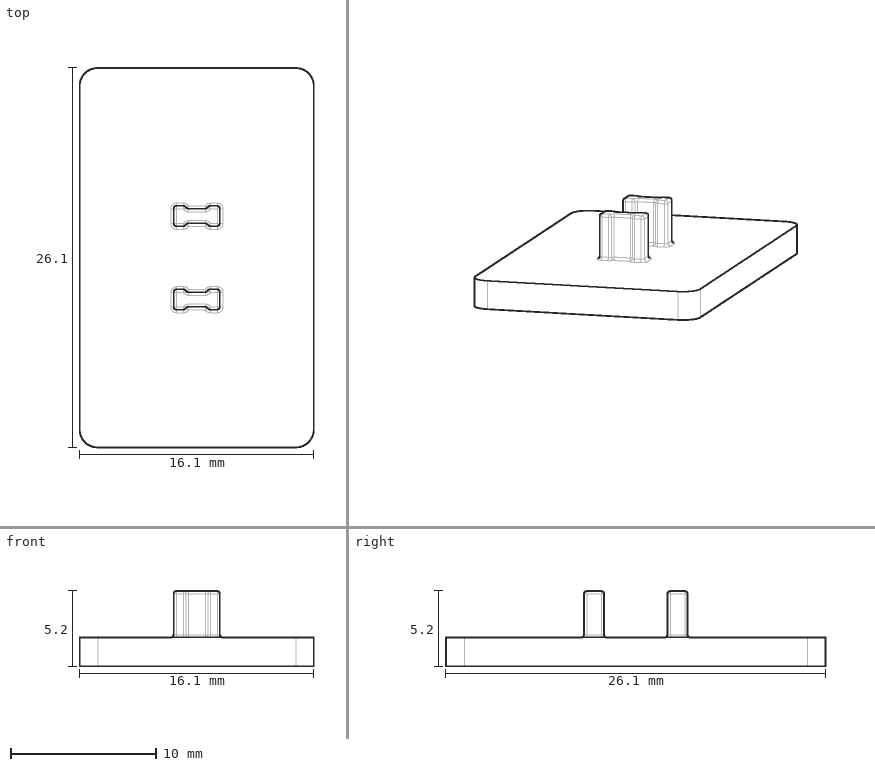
import cadquery as cq
import math

plate_width = 16.15
plate_length = 26.15
plate_thickness = 2.0
plate_corner_radius = 1.25

overall_height = 5.2
post_height = overall_height - plate_thickness
post_width = 3.2
post_depth = 1.4
post_spacing = 5.75
waist_inset = 0.2
waist_step_center = 0.75
edge_radius = 0.2

height_tolerance = 0.01


def make_plate():
    plate = cq.Workplane("XY").box(
        plate_width, plate_length, plate_thickness, centered=(True, True, False)
    )
    return plate.edges("|Z").fillet(plate_corner_radius)


def post_outline(center_y):
    """Rectangle with rounded corners and a smooth recess in each long side."""
    half_width = post_width / 2
    half_depth = post_depth / 2
    waist_half_depth = half_depth - waist_inset
    step_half_depth = half_depth - waist_inset / 2

    step_angle = math.acos(1 - waist_inset / (2 * edge_radius))
    step_half_width = edge_radius * math.sin(step_angle)
    step_outer = waist_step_center + step_half_width
    step_inner = waist_step_center - step_half_width

    corner_x = half_width - edge_radius
    corner_y = half_depth - edge_radius

    outline = cq.Workplane("XY", origin=(0, center_y, plate_thickness))
    outline = outline.moveTo(-half_width, -corner_y)
    for side in (1, -1):
        outline = (
            outline
            .radiusArc((-side * corner_x, -side * half_depth), -edge_radius)
            .lineTo(-side * step_outer, -side * half_depth)
            .radiusArc((-side * waist_step_center, -side * step_half_depth), -edge_radius)
            .radiusArc((-side * step_inner, -side * waist_half_depth), edge_radius)
            .lineTo(side * step_inner, -side * waist_half_depth)
            .radiusArc((side * waist_step_center, -side * step_half_depth), edge_radius)
            .radiusArc((side * step_outer, -side * half_depth), -edge_radius)
            .lineTo(side * corner_x, -side * half_depth)
            .radiusArc((side * half_width, -side * corner_y), -edge_radius)
            .lineTo(side * half_width, side * corner_y)
        )
    return outline.close()


def post_edges(body, z):
    """Edges around both posts at height z, leaving out the plate's own rim."""
    box = cq.selectors.BoxSelector(
        (-post_width, -post_spacing, z - height_tolerance),
        (post_width, post_spacing, z + height_tolerance),
    )
    return body.edges(box)


def add_posts(body):
    for side in (-1, 1):
        body = body.union(post_outline(side * post_spacing / 2).extrude(post_height))
    return body


def round_posts(body):
    body = post_edges(body, plate_thickness).fillet(edge_radius)
    return post_edges(body, overall_height).fillet(edge_radius)


result = round_posts(add_posts(make_plate()))